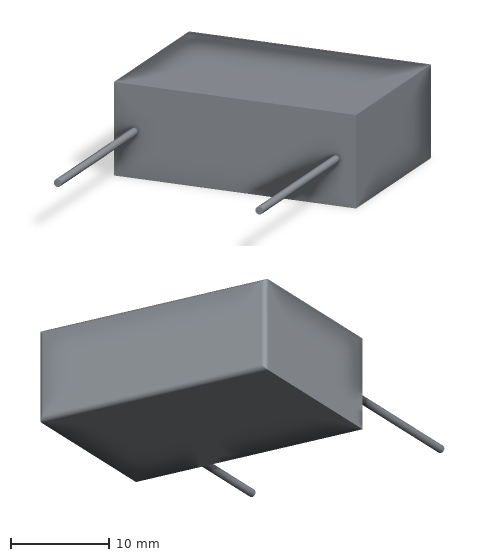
import cadquery as cq

OVERALL_DEPTH = 38.0

CASE_WIDTH = 27.0
CASE_HEIGHT = 10.0
CASE_DEPTH = 19.0
BACK_FILLET = 0.5

LEAD_SPACING = 22.5
LEAD_DIAMETER = 0.85
LEAD_LENGTH = OVERALL_DEPTH - CASE_DEPTH


def make_case():
    """Rectangular block with the four edges of its back face rounded."""
    block = cq.Workplane("XY").box(
        CASE_WIDTH, CASE_DEPTH, CASE_HEIGHT, centered=(True, False, True)
    )
    return block.faces(">Y").edges().fillet(BACK_FILLET)


def make_lead(x):
    """Straight round wire running forward from the case face at the given X."""
    return (
        cq.Workplane("XZ")
        .center(x, 0)
        .circle(LEAD_DIAMETER / 2)
        .extrude(LEAD_LENGTH)
    )


case = make_case()
leads = []
for side in (-1, 1):
    leads.append(make_lead(side * LEAD_SPACING / 2).val())

result = cq.Compound.makeCompound([case.val(), *leads])